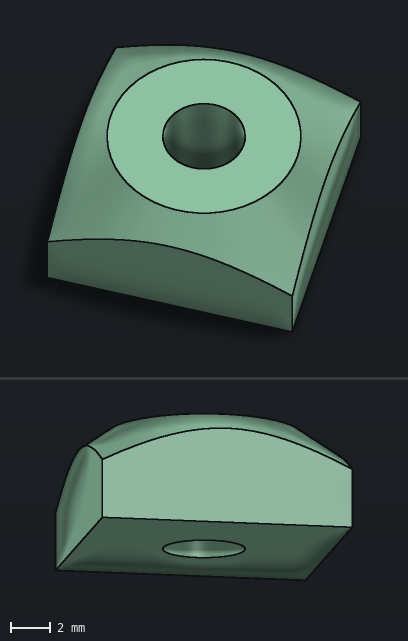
import cadquery as cq
import math

side = 13.0
height = 6.0
top_diameter = 9.9
cone_angle = 35.0
hole_diameter = 4.2

top_radius = top_diameter / 2
turned_radius = side
turned_edge_height = height - (turned_radius - top_radius) * math.tan(math.radians(cone_angle))


def square_block():
    """Square prism standing on Z = 0."""
    return cq.Workplane("XY").rect(side, side).extrude(height)


def conical_envelope():
    """Turned body with a flat round top and a cone sloping down past the block's corners."""
    profile = (
        cq.Workplane("XZ")
        .moveTo(0, 0)
        .lineTo(turned_radius, 0)
        .lineTo(turned_radius, turned_edge_height)
        .lineTo(top_radius, height)
        .lineTo(0, height)
        .close()
    )
    return profile.revolve(360, (0, 0, 0), (0, 1, 0))


def through_hole():
    """Cylinder along the Z axis through the full height."""
    return cq.Workplane("XY").circle(hole_diameter / 2).extrude(height)


result = square_block().intersect(conical_envelope()).cut(through_hole())